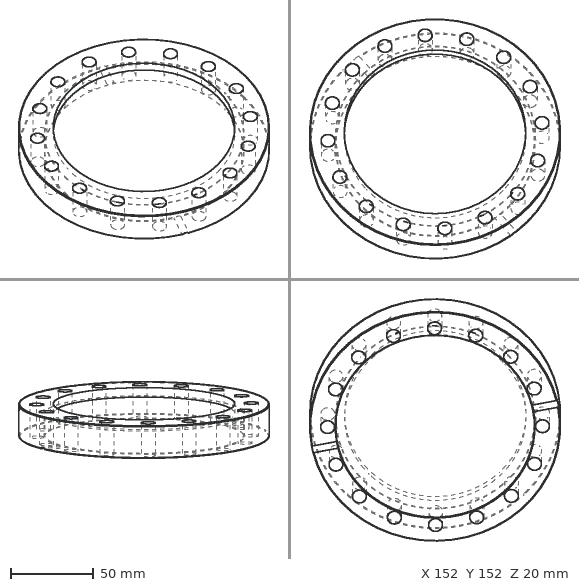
import cadquery as cq

ring_diameter = 152.0
ring_thickness = 20.0
rim_chamfer = 0.5
bore_diameter = 110.0
shoulder_thickness = 5.8
counterbore_diameter = 121.2

bolt_count = 16
bolt_hole_diameter = 8.4
bolt_circle_diameter = 130.3

groove_width = 4.5
groove_depth = 1.2

disc_diameter = 120.4
disc_recess = 0.5

shoulder_height = ring_thickness - shoulder_thickness


def make_ring():
    """Bolted ring with a bore that widens below a shoulder."""
    ring = cq.Workplane("XY").circle(ring_diameter / 2).extrude(ring_thickness)
    ring = ring.faces("<Z or >Z").edges().chamfer(rim_chamfer)

    bore = cq.Workplane("XY").circle(bore_diameter / 2).extrude(ring_thickness)
    counterbore = cq.Workplane("XY").circle(counterbore_diameter / 2).extrude(shoulder_height)
    ring = ring.cut(bore).cut(counterbore)

    half_step = 360.0 / bolt_count / 2
    bolt_holes = (
        cq.Workplane("XY")
        .polarArray(bolt_circle_diameter / 2, half_step, 360, bolt_count)
        .circle(bolt_hole_diameter / 2)
        .extrude(ring_thickness)
    )
    ring = ring.cut(bolt_holes)

    groove = (
        cq.Workplane("YZ")
        .workplane(offset=-ring_diameter / 2)
        .moveTo(-groove_width / 2, 0)
        .threePointArc((0, groove_depth), (groove_width / 2, 0))
        .close()
        .extrude(ring_diameter)
    )
    return ring.cut(groove)


def make_blank_disc():
    """Plain disc closing the bore, resting on the ring's shoulder."""
    return (
        cq.Workplane("XY")
        .workplane(offset=disc_recess)
        .circle(disc_diameter / 2)
        .extrude(shoulder_height - disc_recess)
    )


ring = make_ring()
blank_disc = make_blank_disc()

result = cq.Compound.makeCompound([ring.val(), blank_disc.val()])